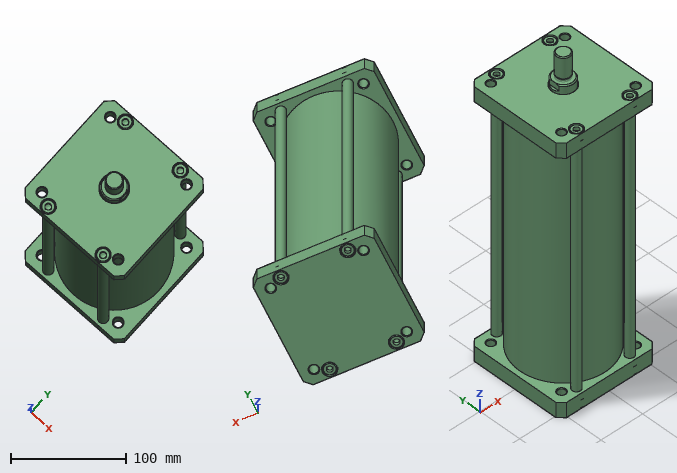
import cadquery as cq
import math

plate_width = 116.0
plate_thickness = 17.6
corner_chamfer = 6.5
barrel_length = 281.9
barrel_diameter = 104.0
barrel_bottom = plate_thickness
barrel_top = barrel_bottom + barrel_length
head_top = barrel_top + plate_thickness
rod_end = 355.0

mount_spacing = 89.0
mount_hole_diameter = 8.57
mount_mouth_diameter = 10.11

tie_spacing_x = 64.1
tie_spacing_y = 100.45
tie_diameter = 10.0
tie_head_diameter = 13.0
tie_head_chamfer = 0.9
tie_head_recess = 0.5
counterbore_diameter = 14.0
counterbore_depth = 9.0
socket_diameter = 6.0
socket_depth = 4.0
socket_cone_depth = 1.5

shoulder_diameter = 25.0
shoulder_height = 9.5
shoulder_chamfer = 1.25
flat_width = 22.0
flat_bottom = 3.0
relief_diameter = 13.5
relief_length = 3.3
relief_fillet = 0.8
thread_diameter = 16.0
thread_length = rod_end - head_top - shoulder_height - relief_length
thread_chamfer = 1.0
rod_bore_diameter = 25.6
rod_bore_mouth_diameter = 26.9

radius_tolerance = 0.001


def corner_points(spacing_x, spacing_y):
    """Four points at the corners of a rectangle centred on the axis."""
    return [(sx * spacing_x / 2, sy * spacing_y / 2) for sx in (-1, 1) for sy in (-1, 1)]


def round_bar(diameter, bottom, length, points=((0, 0),)):
    """Round bars standing on the height `bottom`, one at each point."""
    return cq.Workplane("XY", origin=(0, 0, bottom)).pushPoints(points).circle(diameter / 2).extrude(length)


tie_points = corner_points(tie_spacing_x, tie_spacing_y)
mount_points = corner_points(mount_spacing, mount_spacing)


def cut_mouths(plate, sides, hole_diameter, mouth_diameter):
    """Chamfer the holes of one diameter where they open on the given plate faces."""
    for side in sides:
        rims = plate.faces(side).edges("%CIRCLE").filter(
            lambda rim: math.isclose(rim.radius(), hole_diameter / 2, abs_tol=radius_tolerance)
        )
        plate = plate.newObject(rims.vals()).chamfer((mouth_diameter - hole_diameter) / 2)
    return plate


def make_plate(bottom, counterbore_bottom):
    """Square end plate with mounting holes and counterbored tie rod holes."""
    plate = (
        cq.Workplane("XY", origin=(0, 0, bottom))
        .rect(plate_width, plate_width)
        .extrude(plate_thickness)
        .edges("|Z")
        .chamfer(corner_chamfer)
    )
    plate = plate.cut(round_bar(mount_hole_diameter, bottom, plate_thickness, mount_points))
    plate = cut_mouths(plate, ("<Z", ">Z"), mount_hole_diameter, mount_mouth_diameter)
    plate = plate.cut(round_bar(tie_diameter, bottom, plate_thickness, tie_points))
    return plate.cut(round_bar(counterbore_diameter, counterbore_bottom, counterbore_depth, tie_points))


def make_end_cap():
    """Plain plate closing the bottom of the barrel."""
    return make_plate(bottom=0, counterbore_bottom=0)


def make_head():
    """Rod-side plate, with a rod bore chamfered where it opens on top."""
    head = make_plate(barrel_top, head_top - counterbore_depth)
    head = head.cut(round_bar(rod_bore_diameter, barrel_top, plate_thickness))
    return cut_mouths(head, (">Z",), rod_bore_diameter, rod_bore_mouth_diameter)


def make_piston_rod():
    """Rod standing on the barrel and passing through the head."""
    shoulder_radius = shoulder_diameter / 2
    shoulder_top = head_top + shoulder_height
    shoulder_length = shoulder_top - barrel_top
    rod = round_bar(shoulder_diameter, barrel_top, shoulder_length).faces(">Z").chamfer(shoulder_chamfer)

    flat_offset = flat_width / 2
    flat_depth = shoulder_radius - flat_offset
    flat_bottom_z = head_top + flat_bottom
    flat_cut = (
        cq.Workplane("XZ")
        .moveTo(flat_offset, shoulder_top)
        .lineTo(flat_offset, flat_bottom_z)
        .lineTo(shoulder_radius, flat_bottom_z - flat_depth)
        .lineTo(shoulder_radius, shoulder_top)
        .close()
        .extrude(shoulder_radius, both=True)
    )
    rod = rod.cut(flat_cut).cut(flat_cut.mirror("YZ"))

    thread = round_bar(thread_diameter, shoulder_top + relief_length, thread_length)
    thread = thread.faces(">Z").chamfer(thread_chamfer)
    return rod.union(make_relief(shoulder_top)).union(thread)


def make_relief(bottom):
    """Thread relief, flared by a fillet into the shoulder below and the thread above."""
    neck_radius = relief_diameter / 2
    flare_radius = neck_radius + relief_fillet
    profile = (
        cq.Workplane("XZ", origin=(0, 0, bottom))
        .lineTo(flare_radius, 0)
        .radiusArc((neck_radius, relief_fillet), relief_fillet)
        .lineTo(neck_radius, relief_length - relief_fillet)
        .radiusArc((flare_radius, relief_length), relief_fillet)
        .lineTo(0, relief_length)
        .close()
    )
    return profile.revolve(360, (0, 0, 0), (0, 1, 0))


def make_tie_rod(point):
    """Tie rod with a round head at each end and a cone-bottomed socket in each head."""
    x, y = point
    head_length = counterbore_depth - tie_head_recess
    half_length = head_top / 2 - tie_head_recess

    profile = (
        cq.Workplane("XZ")
        .moveTo(0, socket_depth + socket_cone_depth)
        .lineTo(socket_diameter / 2, socket_depth)
        .lineTo(socket_diameter / 2, 0)
        .lineTo(tie_head_diameter / 2 - tie_head_chamfer, 0)
        .lineTo(tie_head_diameter / 2, tie_head_chamfer)
        .lineTo(tie_head_diameter / 2, head_length)
        .lineTo(tie_diameter / 2, head_length)
        .lineTo(tie_diameter / 2, half_length)
        .lineTo(0, half_length)
        .close()
    )
    lower_half = profile.revolve(360, (0, 0, 0), (0, 1, 0))
    upper_half = lower_half.mirror("XY", (0, 0, half_length))
    return lower_half.union(upper_half).translate((x, y, tie_head_recess))


end_cap = make_end_cap()
barrel = round_bar(barrel_diameter, barrel_bottom, barrel_length)
head = make_head()
piston_rod = make_piston_rod()
tie_rods = [make_tie_rod(point) for point in tie_points]

result = cq.Compound.makeCompound(
    [end_cap.val(), barrel.val(), head.val(), piston_rod.val()] + [tie_rod.val() for tie_rod in tie_rods]
)